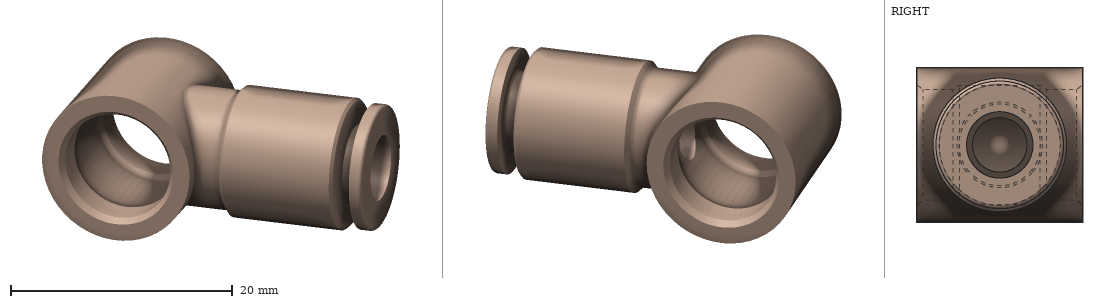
import cadquery as cq

body_diameter = 14.0
body_width = 15.0
overall_length = 29.7
end_x = overall_length - body_diameter / 2

bore_radius = 5.0
taper_length = 0.6
mouth_taper = 0.45
chamber_taper = 0.4
land_length = 2.67

neck_radius = 5.45
neck_end_x = 8.8
neck_flare_end = (9.15, 5.6)
neck_flare_mid = (8.985, 5.505)
collar_radius = 6.03
collar_start_x = 9.53
collar_end_x = 20.0
collar_chamfer = 0.27
collar_face_radius = 4.9
sleeve_radius = 3.68
sleeve_start_x = 20.23
flange_radius = 5.75
flange_start_x = 21.53
flange_flare = 0.18
flange_fillet = 0.3
root_fillet = 0.5

port_radius = 2.47
socket_radius = 3.0
socket_start_x = 6.0


def make_branch():
    """Solid of revolution about X, starting on the banjo axis."""
    return (
        cq.Workplane("XY")
        .moveTo(0, 0)
        .lineTo(0, neck_radius)
        .lineTo(neck_end_x, neck_radius)
        .threePointArc(neck_flare_mid, neck_flare_end)
        .lineTo(collar_start_x, collar_radius)
        .lineTo(collar_end_x - collar_chamfer, collar_radius)
        .lineTo(collar_end_x, collar_radius - collar_chamfer)
        .lineTo(collar_end_x, collar_face_radius)
        .lineTo(sleeve_start_x, sleeve_radius)
        .lineTo(flange_start_x - flange_flare, sleeve_radius)
        .lineTo(flange_start_x, sleeve_radius + flange_flare)
        .lineTo(flange_start_x, flange_radius)
        .lineTo(end_x, flange_radius)
        .lineTo(end_x, 0)
        .close()
        .revolve(360, (0, 0, 0), (1, 0, 0))
        .faces(">X")
        .edges()
        .fillet(flange_fillet)
    )


def make_bore():
    """Banjo bore revolved about Y, the same from both ends."""
    half_width = body_width / 2
    land_outer_y = half_width - taper_length
    land_inner_y = land_outer_y - land_length
    chamber_half = land_inner_y - taper_length
    half_profile = [
        (bore_radius + mouth_taper, half_width),
        (bore_radius, land_outer_y),
        (bore_radius, land_inner_y),
        (bore_radius + chamber_taper, chamber_half),
    ]
    mirrored = [(radius, -y) for radius, y in reversed(half_profile)]
    profile = [(0, half_width)] + half_profile + mirrored + [(0, -half_width)]
    return cq.Workplane("XY").polyline(profile).close().revolve(360, (0, 0, 0), (0, 1, 0))


def x_cylinder(radius, start_x, stop_x):
    return cq.Workplane("YZ", origin=(start_x, 0, 0)).circle(radius).extrude(stop_x - start_x)


body = (
    cq.Workplane("XZ")
    .circle(body_diameter / 2)
    .extrude(body_width / 2, both=True)
)

edge_margin = 0.3
root_half_box = neck_radius + edge_margin
root_box = cq.selectors.BoxSelector(
    (edge_margin, -root_half_box, -root_half_box),
    (neck_end_x - edge_margin, root_half_box, root_half_box),
    boundingbox=True,
)
outside = body.union(make_branch()).edges(root_box).fillet(root_fillet)

result = (
    outside
    .cut(make_bore())
    .cut(x_cylinder(port_radius, 0, socket_start_x))
    .cut(x_cylinder(socket_radius, socket_start_x, end_x))
)